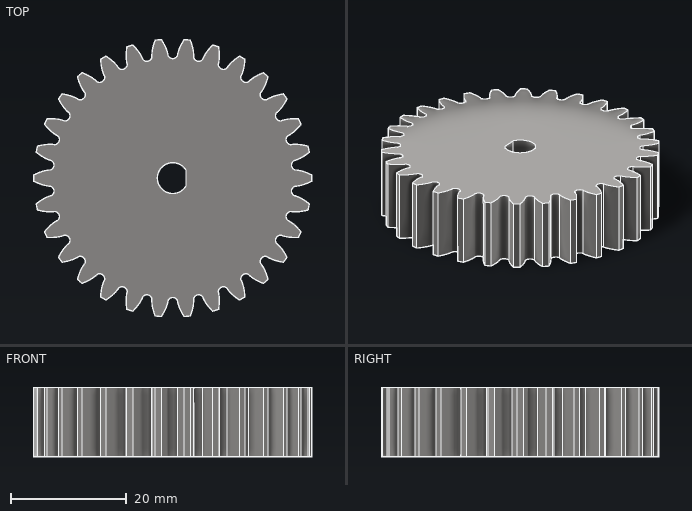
import cadquery as cq
import math

tooth_count = 30
tip_radius = 24.0
face_width = 12.0
pressure_angle = math.radians(20)
dedendum_factor = 1.25
flank_steps = 6

bore_radius = 2.65
bore_flat_offset = 2.25

module = 2 * tip_radius / (tooth_count + 2)
pitch_radius = module * tooth_count / 2
base_radius = pitch_radius * math.cos(pressure_angle)
root_radius = pitch_radius - dedendum_factor * module
tooth_pitch = 2 * math.pi / tooth_count


def polar(radius, angle):
    return (radius * math.cos(angle), radius * math.sin(angle))


def involute(angle):
    return math.tan(angle) - angle


def half_tooth_angle(radius):
    """Angle between the tooth centre line and its involute flank at a radius."""
    local_pressure_angle = math.acos(min(1.0, base_radius / radius))
    return tooth_pitch / 4 + involute(pressure_angle) - involute(local_pressure_angle)


def flank_points(center_angle, side):
    """Points from base circle to tip on one flank; side is -1 or +1."""
    points = []
    for step in range(flank_steps + 1):
        fraction = (step / flank_steps) ** 2
        radius = base_radius + (tip_radius - base_radius) * fraction
        points.append(polar(radius, center_angle + side * half_tooth_angle(radius)))
    return points


def gear_outline():
    start = flank_points(0, -1)[0]
    outline = cq.Workplane("XY").moveTo(*start)
    for tooth in range(tooth_count):
        angle = tooth * tooth_pitch
        lower_flank = flank_points(angle, -1)
        upper_flank = flank_points(angle, 1)[::-1]
        next_start = flank_points(angle + tooth_pitch, -1)[0]
        gap_bottom = polar(root_radius, angle + tooth_pitch / 2)

        outline = outline.spline(lower_flank[1:], includeCurrent=True)
        outline = outline.threePointArc(polar(tip_radius, angle), upper_flank[0])
        outline = outline.spline(upper_flank[1:], includeCurrent=True)
        outline = outline.threePointArc(gap_bottom, next_start)
    return outline.close()


def bore():
    flat_half_length = math.sqrt(bore_radius**2 - bore_flat_offset**2)
    return (
        cq.Workplane("XY")
        .moveTo(bore_flat_offset, flat_half_length)
        .threePointArc((-bore_radius, 0), (bore_flat_offset, -flat_half_length))
        .close()
        .extrude(face_width)
    )


result = gear_outline().extrude(face_width).cut(bore())